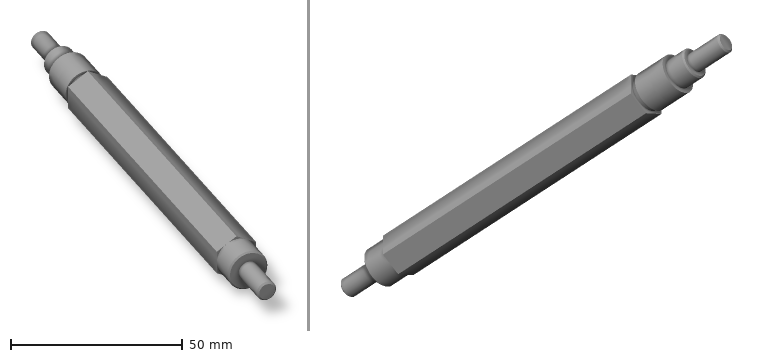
import cadquery as cq

rod_length = 155.0
cap_start = 12.7
cap_collar_start = 19.7
joint_face = 25.4
body_collar_end = 31.0
hex_start = 32.7
hex_end = 134.0
boss_end = 142.1

rod_diameter = 6.2
nose_diameter = 9.8
collar_diameter = 12.7
neck_diameter = 11.0
hex_across_flats = collar_diameter

rod_chamfer = 0.55
nose_chamfer = 0.5
boss_chamfer = 0.5


def cylinder(start, end, diameter):
    """Solid cylinder on the X axis between two stations."""
    return cq.Workplane("YZ", origin=(start, 0, 0)).circle(diameter / 2).extrude(end - start)


def rod_bore(start, end):
    """Cutter for the bore in which the rod fits."""
    return cylinder(start, end, rod_diameter)


def make_rod():
    """Straight rod running through the cap and the body, chamfered at both tips."""
    rod = cylinder(0, rod_length, rod_diameter)
    return rod.faces("<X or >X").chamfer(rod_chamfer)


def make_cap():
    """Stepped end cap: a chamfered nose followed by a collar."""
    nose = cylinder(cap_start, cap_collar_start, nose_diameter)
    nose = nose.faces("<X").chamfer(nose_chamfer)
    collar = cylinder(cap_collar_start, joint_face, collar_diameter)
    return nose.union(collar).cut(rod_bore(cap_start, joint_face))


def make_hex_bar():
    """Hexagonal bar with flats facing -Y and +Y and corners pointing along Z."""
    hexagon = cq.Sketch().regularPolygon(hex_across_flats / 3**0.5, 6)
    return cq.Workplane("YZ", origin=(hex_start, 0, 0)).placeSketch(hexagon).extrude(hex_end - hex_start)


def make_body():
    """Hexagonal body with a collar and neck on the left and a round boss on the right."""
    collar = cylinder(joint_face, body_collar_end, collar_diameter)
    neck = cylinder(body_collar_end, hex_start, neck_diameter)
    boss = cylinder(hex_end, boss_end, collar_diameter)
    boss = boss.faces(">X").chamfer(boss_chamfer)
    body = make_hex_bar().union(neck).union(collar).union(boss)
    return body.cut(rod_bore(joint_face, boss_end))


rod = make_rod()
cap = make_cap()
body = make_body()

result = cq.Compound.makeCompound([rod.val(), cap.val(), body.val()])